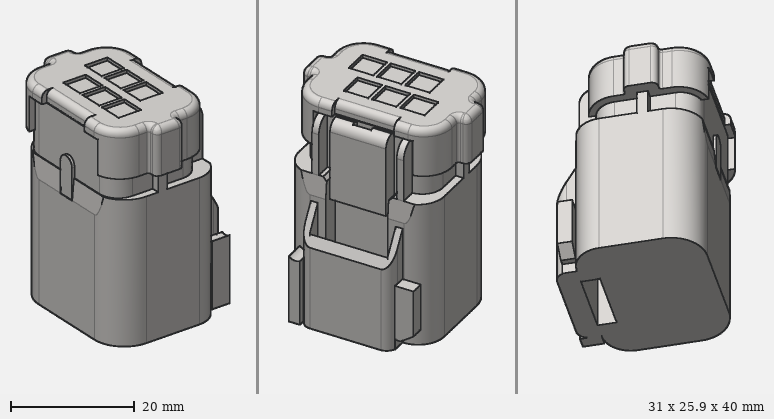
import cadquery as cq

HEIGHT = 40.0
OVERALL_WIDTH = 31.0

BODY_WIDTH = 27.05
BODY_TOP = 26.9
BODY_FRONT = -9.35
BODY_BACK = 12.1
FRONT_CORNER_RADIUS = 6.0
BACK_CORNER_RADIUS = 4.8
BEVEL_HEIGHT = 3.95
BEVEL_DEPTH = 0.35

PLUG_WIDTH = 24.1
PLUG_DEPTH = 17.8
PLUG_RADIUS = 3.85
SIDE_RIB_DEPTH = 1.85

CAP_HEIGHT = 8.9
CAP_DEPTH = 20.1
CAP_RADIUS = 5.2
CAP_TOP_FILLET = 1.3
EAR_DEPTH = 5.7
EAR_CORNER_RADIUS = 1.05
EAR_ROOT_RADIUS = 0.45
CAP_NOTCH_WIDTH = 18.5
CAP_NOTCH_HEIGHT = 6.5
LIP_RELIEF_WIDTH = 11.5
LIP_RELIEF_DEPTH = 0.95

OPENING_SIZE = 4.55
OPENING_DEPTH = 0.6
OPENING_PITCH = 5.25
ROW_SHIFT = 1.3
ROW_OFFSET = 3.15

PEG_WIDTH = 3.1
PEG_TOP = 30.55
PEG_FRONT = -9.45

GUARD_WIDTH = 17.05
GUARD_BACK = 15.85
GUARD_CORNER_RADIUS = 1.95
GUARD_SIDE_WALL = 1.3
GUARD_BACK_WALL = 1.1
GUARD_SLOPE_TOP = 21.85
GUARD_SLOPE_BOTTOM = 15.5
ARM_TOP = 37.5
ARM_TOP_RADIUS = 2.75

CHANNEL_WIDTH = 11.5
CHANNEL_RAMP_WIDTH = 0.7
CHANNEL_RAMP_HEIGHT = 0.7

RAIL_LEFT = -11.9
RAIL_RIGHT = 10.6
RAIL_BACK = 14.5
RAIL_TOP = 12.2
RAIL_CHAMFER_TOP = 3.55
RAIL_CHAMFER_RISE = 1.7
RAIL_CHAMFER_RUN = 2.35
RAIL_SLOT_FRONT = 13.2
RAIL_SLOT_DEPTH = 1.2
GROOVE_DEPTH = 0.6
RAIL_SLOT_SPANS = ((-5.05, -3.1), (1.8, 5.1))
TAB_BACK = 15.7
TAB_RISE = 0.3
TAB_SAG = 0.15

LATCH_WIDTH = 10.4
LATCH_BACK = 11.7
LATCH_BOTTOM = 22.95
LATCH_TOP = 37.7
LATCH_TOP_RADIUS = 1.85
LATCH_NOTCH_WIDTH = 3.4
LATCH_NOTCH_BACK = 10.35
LATCH_SLOPE_DROP = 0.4
CATCH_BACK = 9.7
CATCH_HEIGHT = 4.0
CATCH_SLOPE_DROP = 0.25

HALF_WIDTH = BODY_WIDTH / 2
CAP_BOTTOM = HEIGHT - CAP_HEIGHT
BEVEL_BOTTOM = BODY_TOP - BEVEL_HEIGHT
BODY_TOP_BACK = BODY_BACK - BEVEL_DEPTH
PLUG_BACK = PLUG_DEPTH / 2
GUARD_INNER_HALF = GUARD_WIDTH / 2 - GUARD_SIDE_WALL
GUARD_INNER_BACK = GUARD_BACK - GUARD_BACK_WALL


def block(x0, x1, y0, y1, z0, z1):
    """Box between two opposite corners."""
    return cq.Workplane("XY").box(x1 - x0, y1 - y0, z1 - z0, centered=False).translate((x0, y0, z0))


def centred_block(width, y0, y1, z0, z1):
    """Box that is symmetric about the YZ plane."""
    return block(-width / 2, width / 2, y0, y1, z0, z1)


def side_profile(points, width):
    """Extrude a (Y, Z) polygon along X, symmetric about the YZ plane."""
    return cq.Workplane("YZ").polyline(points).close().extrude(width / 2, both=True)


def make_body():
    body = centred_block(BODY_WIDTH, BODY_FRONT, BODY_BACK, 0, BODY_TOP)
    body = body.edges("|Z and <Y").fillet(FRONT_CORNER_RADIUS)
    body = body.edges("|Z and >Y").fillet(BACK_CORNER_RADIUS)
    for face, depth in ((BODY_FRONT, BEVEL_DEPTH), (BODY_BACK, -BEVEL_DEPTH)):
        wedge = [(face, BEVEL_BOTTOM), (face + depth, BODY_TOP), (face, BODY_TOP)]
        body = body.cut(side_profile(wedge, BODY_WIDTH))
    return body


def make_plug():
    plug = centred_block(PLUG_WIDTH, -PLUG_BACK, PLUG_BACK, BODY_TOP, HEIGHT - CAP_TOP_FILLET)
    plug = plug.edges("|Z").fillet(PLUG_RADIUS)
    ribs = centred_block(BODY_WIDTH, -SIDE_RIB_DEPTH / 2, SIDE_RIB_DEPTH / 2, BODY_TOP, CAP_BOTTOM)
    return plug.union(ribs)


def make_eared_lid(depth):
    """Eared plate of the cap height with a filleted top edge."""
    lid = centred_block(BODY_WIDTH, -depth / 2, depth / 2, CAP_BOTTOM, HEIGHT)
    lid = lid.edges("|Z").fillet(CAP_RADIUS)
    ears = centred_block(OVERALL_WIDTH, -EAR_DEPTH / 2, EAR_DEPTH / 2, CAP_BOTTOM, HEIGHT)
    lid = lid.union(ears.edges("|Z").fillet(EAR_CORNER_RADIUS))
    roots = cq.selectors.BoxSelector(
        (-HALF_WIDTH - EAR_ROOT_RADIUS, -EAR_DEPTH, CAP_BOTTOM),
        (HALF_WIDTH + EAR_ROOT_RADIUS, EAR_DEPTH, HEIGHT),
    )
    lid = lid.edges("|Z").edges(roots).fillet(EAR_ROOT_RADIUS)
    return lid.faces(">Z").edges().fillet(CAP_TOP_FILLET)


def make_cap():
    """Cap notched at front and back, with a set-back stretch of lip above each notch."""
    notch_top = CAP_BOTTOM + CAP_NOTCH_HEIGHT
    cap = make_eared_lid(CAP_DEPTH)
    cap = cap.cut(centred_block(LIP_RELIEF_WIDTH, -CAP_DEPTH, CAP_DEPTH, CAP_BOTTOM, HEIGHT))
    cap = cap.cut(centred_block(CAP_NOTCH_WIDTH, -CAP_DEPTH, CAP_DEPTH, CAP_BOTTOM, notch_top))
    lip_y = CAP_DEPTH / 2 - LIP_RELIEF_DEPTH
    lip = centred_block(LIP_RELIEF_WIDTH, -lip_y, lip_y, notch_top, HEIGHT)
    return cap.union(lip.edges("|X and >Z").fillet(CAP_TOP_FILLET))


def make_openings():
    columns = [-OPENING_PITCH, 0, OPENING_PITCH]
    centres = [(x - side * ROW_SHIFT, side * ROW_OFFSET) for side in (1, -1) for x in columns]
    plane = cq.Workplane("XY").workplane(offset=HEIGHT - OPENING_DEPTH)
    return plane.pushPoints(centres).rect(OPENING_SIZE, OPENING_SIZE).extrude(OPENING_DEPTH)


def make_peg():
    peg = centred_block(PEG_WIDTH, PEG_FRONT, -PLUG_BACK, BEVEL_BOTTOM, PEG_TOP - PEG_WIDTH / 2)
    tip = cq.Workplane("XZ").circle(PEG_WIDTH / 2).extrude(-PLUG_BACK - PEG_FRONT)
    return peg.union(tip.translate((0, -PLUG_BACK, PEG_TOP - PEG_WIDTH / 2)))


def make_guard():
    """Sloped box behind the body plus the pair of arms that rise beside the latch."""
    guard = centred_block(GUARD_WIDTH, PLUG_BACK, GUARD_BACK, 0, GUARD_SLOPE_TOP)
    guard = guard.edges("|Z and >Y").fillet(GUARD_CORNER_RADIUS)
    slope = [
        (BODY_BACK, GUARD_SLOPE_TOP),
        (GUARD_BACK, GUARD_SLOPE_BOTTOM),
        (GUARD_BACK, GUARD_SLOPE_TOP),
    ]
    guard = guard.cut(side_profile(slope, GUARD_WIDTH))
    arms = centred_block(GUARD_WIDTH, PLUG_BACK, BODY_TOP_BACK, BODY_TOP, ARM_TOP)
    arms = arms.edges("|X and >Y and >Z").fillet(ARM_TOP_RADIUS)
    arms = arms.cut(centred_block(2 * GUARD_INNER_HALF, PLUG_BACK, BODY_BACK, BODY_TOP, HEIGHT))
    return guard.union(arms)


def make_guard_cavity():
    """Space inside the guard above the rail, and the ramped channel through the body."""
    cavity = centred_block(2 * GUARD_INNER_HALF, BODY_BACK, GUARD_INNER_BACK, RAIL_TOP, BODY_TOP)
    channel = centred_block(CHANNEL_WIDTH, PLUG_BACK, BODY_BACK, 0, BODY_TOP)
    half = CHANNEL_WIDTH / 2
    ramp = (
        cq.Workplane("XZ", origin=(0, BODY_BACK, 0))
        .polyline([
            (-half - CHANNEL_RAMP_WIDTH, BODY_TOP),
            (half + CHANNEL_RAMP_WIDTH, BODY_TOP),
            (half, BODY_TOP - CHANNEL_RAMP_HEIGHT),
            (-half, BODY_TOP - CHANNEL_RAMP_HEIGHT),
        ])
        .close()
        .extrude(BODY_BACK - PLUG_BACK)
    )
    return cavity.union(channel).union(ramp)


def make_rail():
    """Rail across the guard: undercut at its left end, with a dished tab at its right end."""
    chamfer_end = RAIL_LEFT + RAIL_CHAMFER_RUN
    chamfer_foot = RAIL_CHAMFER_TOP - RAIL_CHAMFER_RISE
    guard_right = GUARD_WIDTH / 2
    tab_middle = (guard_right + RAIL_RIGHT) / 2
    bar = (
        cq.Workplane("XZ", origin=(0, RAIL_BACK, 0))
        .moveTo(RAIL_LEFT, RAIL_TOP)
        .lineTo(RAIL_LEFT, RAIL_CHAMFER_TOP)
        .lineTo(chamfer_end, chamfer_foot)
        .lineTo(-guard_right, chamfer_foot)
        .lineTo(-guard_right, 0)
        .lineTo(guard_right, 0)
        .lineTo(guard_right, RAIL_TOP)
        .close()
        .extrude(RAIL_BACK - BODY_BACK)
    )
    tab = (
        cq.Workplane("XZ", origin=(0, TAB_BACK, 0))
        .moveTo(guard_right, 0)
        .lineTo(RAIL_RIGHT, 0)
        .lineTo(RAIL_RIGHT, RAIL_TOP + TAB_RISE)
        .threePointArc((tab_middle, RAIL_TOP - TAB_SAG), (guard_right, RAIL_TOP))
        .close()
        .extrude(TAB_BACK - BODY_BACK)
    )
    return bar.union(tab)


def make_rail_slots():
    """Groove behind the rail and the two slots that open into it."""
    groove_floor = RAIL_TOP - GROOVE_DEPTH
    slot_floor = RAIL_TOP - RAIL_SLOT_DEPTH
    slots = centred_block(2 * GUARD_INNER_HALF, RAIL_BACK, GUARD_INNER_BACK, groove_floor, RAIL_TOP)
    for left, right in RAIL_SLOT_SPANS:
        slots = slots.union(block(left, right, RAIL_SLOT_FRONT, RAIL_BACK, slot_floor, RAIL_TOP))
    return slots


def make_latch():
    """Latch rounded at its upper back edge, notched around a sloped catch on the plug."""
    latch = centred_block(LATCH_WIDTH, PLUG_BACK, LATCH_BACK, LATCH_BOTTOM, LATCH_TOP)
    latch = latch.edges("|X and >Y and >Z").fillet(LATCH_TOP_RADIUS)
    latch = latch.edges("|X and <Y and >Z").chamfer(CATCH_BACK - PLUG_BACK, LATCH_SLOPE_DROP)
    notch = centred_block(LATCH_NOTCH_WIDTH, PLUG_BACK, LATCH_NOTCH_BACK, LATCH_BOTTOM, LATCH_TOP)
    latch = latch.cut(notch)
    catch_top = CAP_BOTTOM + CATCH_HEIGHT
    catch = [
        (PLUG_BACK, CAP_BOTTOM),
        (CATCH_BACK, CAP_BOTTOM),
        (CATCH_BACK, catch_top - CATCH_SLOPE_DROP),
        (PLUG_BACK, catch_top),
    ]
    return latch.union(side_profile(catch, LATCH_NOTCH_WIDTH))


result = make_body().union(make_plug()).union(make_cap()).union(make_peg())
result = result.union(make_guard()).union(make_rail())
result = result.cut(make_guard_cavity()).cut(make_rail_slots()).cut(make_openings())
result = result.union(make_latch())